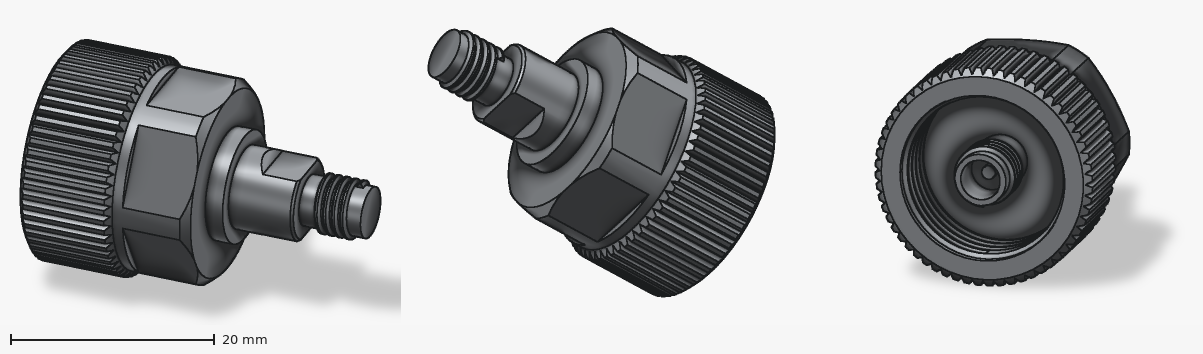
import cadquery as cq
import math


tip_x = 0.0
nut_front_x = 0.72
knurl_end_x = 10.5
hex_start_x = 11.6
hex_end_x = 18.5
flange_end_x = 20.35
shoulder_x = 27.15
total_length = 33.7

knurl_radius = 11.07
nut_face_radius = 10.3
knurl_chamfer_length = 0.6
groove_count = 60
groove_root_radius = 10.5
groove_angle = 60.0
groove_cutter_margin = 0.2
collar_radius = 10.36
hex_across_flats = 19.0
hex_chamfer = 0.83

bore_radius = 7.97
bore_mouth_radius = 8.39
bore_floor_x = 7.95
mouth_depth = 0.72
nut_pitch = 25.4 / 18
nut_groove_width = 1.1
nut_groove_start_x = 2.5
nut_groove_turns = 4.25
nut_core_radius = 9.5

flange_radius = 5.75
body_radius = 4.25
body_chamfer = 0.25
body_flat_distance = 3.4
body_flat_start_x = 23.3

barrel_radius = 2.6
thread_crest_radius = 3.02
thread_pitch = 25.4 / 28
thread_turns = 4.25
thread_crest_width = 0.22
thread_angle = 60.0
thread_end_gap = 1.15
barrel_root_overlap = 0.2
thread_overlap = 0.1

socket_radius = 2.0
socket_depth = 4.0
contact_radius = 0.69
contact_length = 1.0


def revolve_about_x(points):
    """Solid of revolution of an (x, radius) outline about the X axis."""
    return cq.Workplane("XY").polyline(points).close().revolve(360, (0, 0, 0), (1, 0, 0))


def cylinder(start_x, end_x, radius):
    return cq.Workplane("YZ", origin=(start_x, 0, 0)).circle(radius).extrude(end_x - start_x)


def helical_sweep(profile, path_radius, pitch, turns):
    """Right-handed sweep about +X of a closed (x, radius) profile, starting at the +Y side."""
    path = cq.Wire.makeHelix(pitch, pitch * turns, path_radius)
    points = [(radius, axial) for axial, radius in profile]
    ridge = cq.Workplane("XZ").polyline(points).close().sweep(cq.Workplane(path), isFrenet=True)
    return ridge.rotate((0, 0, 0), (1, 1, 1), 120)


def nut_blank():
    knurl_start = nut_front_x + knurl_chamfer_length
    knurl_stop = knurl_end_x - knurl_chamfer_length
    return revolve_about_x([
        (nut_front_x, 0),
        (nut_front_x, nut_face_radius),
        (knurl_start, knurl_radius),
        (knurl_stop, knurl_radius),
        (knurl_end_x, collar_radius),
        (hex_end_x - hex_chamfer, collar_radius),
        (hex_end_x, collar_radius - hex_chamfer),
        (hex_end_x, 0),
    ])


def knurl_grooves():
    """V grooves along the whole knurl, evenly spaced round the nut."""
    cutter_radius = knurl_radius + groove_cutter_margin
    half_width = (cutter_radius - groove_root_radius) * math.tan(math.radians(groove_angle / 2))
    groove = (
        cq.Workplane("YZ", origin=(nut_front_x, 0, 0))
        .polyline([
            (groove_root_radius, 0),
            (cutter_radius, half_width),
            (cutter_radius, -half_width),
        ])
        .close()
        .extrude(knurl_end_x - nut_front_x)
    )
    grooves = []
    for index in range(groove_count):
        angle = index * 360 / groove_count
        grooves.append(groove.rotate((0, 0, 0), (1, 0, 0), angle).val())
    return cq.Workplane(cq.Compound.makeCompound(grooves))


def hex_trim():
    """Material outside the wrench hexagon, which has two flats facing +Z and -Z."""
    length = hex_end_x - hex_start_x
    start = cq.Workplane("YZ", origin=(hex_start_x, 0, 0))
    hexagon = start.polygon(6, hex_across_flats, circumscribed=True).extrude(length)
    hexagon = hexagon.rotate((0, 0, 0), (1, 0, 0), 90)
    return start.circle(2 * collar_radius).extrude(length).cut(hexagon)


def rough_bore():
    """Bore of the nut, carried past its floor to leave room for the run-out of the thread groove."""
    mouth_end = nut_front_x + mouth_depth
    lead_in = bore_mouth_radius - bore_radius
    return revolve_about_x([
        (nut_front_x, 0),
        (nut_front_x, bore_mouth_radius),
        (mouth_end, bore_mouth_radius),
        (mouth_end + lead_in, bore_radius),
        (knurl_end_x, bore_radius),
        (knurl_end_x, 0),
    ])


def nut_thread_groove():
    """Helical V groove in the bore wall, starting at the -Z side."""
    flank_slope = math.tan(math.radians(thread_angle / 2))
    root_radius = bore_radius + nut_groove_width / 2 / flank_slope
    inner_radius = bore_radius - thread_overlap
    half_width = (root_radius - inner_radius) * flank_slope
    profile = [(-half_width, inner_radius), (0, root_radius), (half_width, inner_radius)]
    groove = helical_sweep(profile, bore_radius, nut_pitch, nut_groove_turns)
    return groove.rotate((0, 0, 0), (1, 0, 0), -90).translate((nut_groove_start_x, 0, 0))


def wrench_body():
    body = cylinder(hex_end_x, flange_end_x, flange_radius)
    body = body.union(cylinder(flange_end_x, shoulder_x, body_radius).faces(">X").chamfer(body_chamfer))
    return body.cut(body_flat_trim(1)).cut(body_flat_trim(-1))


def body_flat_trim(side):
    """Wedge removed above (side 1) or below (side -1) the body, with a 45 degree run-out."""
    height = body_radius
    return (
        cq.Workplane("XZ")
        .polyline([
            (body_flat_start_x, side * body_flat_distance),
            (body_flat_start_x - height, side * (body_flat_distance + height)),
            (shoulder_x, side * (body_flat_distance + height)),
            (shoulder_x, side * body_flat_distance),
        ])
        .close()
        .extrude(body_radius, both=True)
    )


def threaded_barrel(length):
    """Barrel from x = 0 to its tip at x = length, with a thread ridge near the tip."""
    base_radius = barrel_radius - thread_overlap
    half_crest = thread_crest_width / 2
    flank = (thread_crest_radius - base_radius) * math.tan(math.radians(thread_angle / 2))
    profile = [
        (-half_crest - flank, base_radius),
        (-half_crest, thread_crest_radius),
        (half_crest, thread_crest_radius),
        (half_crest + flank, base_radius),
    ]
    thread_start = length - thread_end_gap - thread_pitch * thread_turns
    ridge = helical_sweep(profile, barrel_radius, thread_pitch, thread_turns)
    return cylinder(0, length, barrel_radius).union(ridge.translate((thread_start, 0, 0)))


def front_barrel():
    """Barrel inside the nut, with an open socket and its centre contact."""
    root_x = bore_floor_x + barrel_root_overlap
    barrel = threaded_barrel(root_x - tip_x)
    barrel = barrel.rotate((0, 0, 0), (0, 1, 0), 180).translate((root_x, 0, 0))
    socket_floor = tip_x + socket_depth
    barrel = barrel.cut(cylinder(tip_x, socket_floor, socket_radius))
    return barrel.union(cylinder(socket_floor - contact_length, socket_floor, contact_radius))


def rear_barrel():
    return threaded_barrel(total_length - shoulder_x).translate((shoulder_x, 0, 0))


nut = nut_blank().cut(hex_trim()).cut(knurl_grooves())
nut = nut.cut(rough_bore()).cut(nut_thread_groove())
nut = nut.union(cylinder(bore_floor_x, knurl_end_x, nut_core_radius))
result = nut.union(wrench_body()).union(rear_barrel()).union(front_barrel())